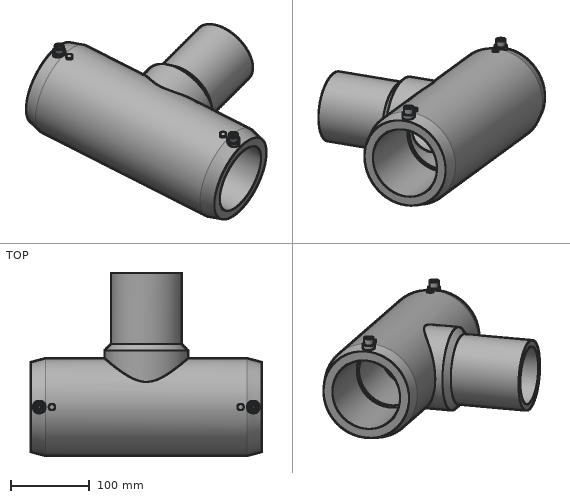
import cadquery as cq
import math


sleeve_length = 293.0
sleeve_radius = 62.0
end_taper_drop = 5.0
end_taper_angle = 15.0
end_taper_length = end_taper_drop / math.tan(math.radians(end_taper_angle))

pipe_diameter = 90.0
socket_radius = pipe_diameter / 2
stop_bore_radius = 42.0
stop_length = pipe_diameter

branch_end_y = 170.0
branch_radius = pipe_diameter / 2
branch_wall = 8.2
branch_bore_radius = branch_radius - branch_wall
spigot_length = 90.0
collar_radius = 53.2
collar_cone_length = 8.5

stud_end_offset = 11.0
stud_base_radius = 7.9
stud_base_top_z = 63.5
stud_radius = 6.0
stud_top_z = 72.5
stud_chamfer = 0.8
stud_hole_radius = 4.0
stud_hole_floor_z = stud_base_top_z
pin_radius = 2.3
pin_recess = 1.6

button_end_offset = 27.0
button_radius = 4.0
button_height = 2.5

root_depth = 2.0
root_z = sleeve_radius - end_taper_drop - root_depth


def x_cylinder(radius, start_x, end_x):
    return cq.Workplane("YZ", origin=(start_x, 0, 0)).circle(radius).extrude(end_x - start_x)


def y_cylinder(radius, end_y):
    return cq.Workplane("XZ").circle(radius).extrude(-end_y)


def z_cylinder(x, radius, bottom_z, top_z):
    return cq.Workplane("XY", origin=(x, 0, bottom_z)).circle(radius).extrude(top_z - bottom_z)


def make_sleeve():
    half_length = sleeve_length / 2
    taper_start = half_length - end_taper_length
    end_radius = sleeve_radius - end_taper_drop
    profile = [
        (-half_length, 0),
        (-half_length, end_radius),
        (-taper_start, sleeve_radius),
        (taper_start, sleeve_radius),
        (half_length, end_radius),
        (half_length, 0),
    ]
    return cq.Workplane("XY").polyline(profile).close().revolve(360, (0, 0, 0), (1, 0, 0))


def make_branch():
    cone_end_y = branch_end_y - spigot_length
    cone_start_y = cone_end_y - collar_cone_length
    profile = [
        (0, 0),
        (collar_radius, 0),
        (collar_radius, cone_start_y),
        (branch_radius, cone_end_y),
        (branch_radius, branch_end_y),
        (0, branch_end_y),
    ]
    return cq.Workplane("XY").polyline(profile).close().revolve(360, (0, 0, 0), (0, 1, 0))


def make_bores():
    half_length = sleeve_length / 2
    half_stop = stop_length / 2
    left_socket = x_cylinder(socket_radius, -half_length, -half_stop)
    right_socket = x_cylinder(socket_radius, half_stop, half_length)
    stop_bore = x_cylinder(stop_bore_radius, -half_stop, half_stop)
    branch_bore = y_cylinder(branch_bore_radius, branch_end_y)
    return left_socket.union(right_socket).union(stop_bore).union(branch_bore)


def make_stud(x):
    base = z_cylinder(x, stud_base_radius, root_z, stud_base_top_z)
    post = z_cylinder(x, stud_radius, root_z, stud_top_z).faces(">Z").chamfer(stud_chamfer)
    hole = z_cylinder(x, stud_hole_radius, stud_hole_floor_z, stud_top_z)
    pin = z_cylinder(x, pin_radius, root_z, stud_top_z - pin_recess)
    return base.union(post).cut(hole).union(pin)


def make_button(x):
    return z_cylinder(x, button_radius, root_z, sleeve_radius + button_height)


result = make_sleeve().union(make_branch()).cut(make_bores())
for side in (-1, 1):
    result = result.union(make_stud(side * (sleeve_length / 2 - stud_end_offset)))
    result = result.union(make_button(side * (sleeve_length / 2 - button_end_offset)))